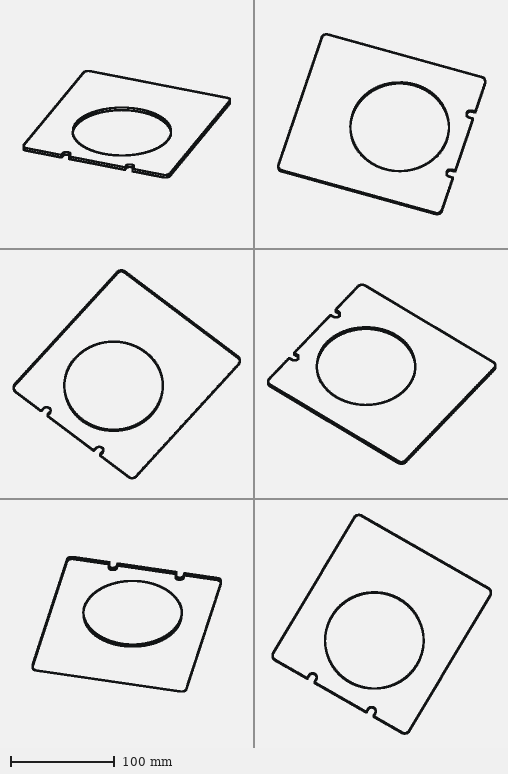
import cadquery as cq

width = 152.0
length = 165.0
thickness = 3.0
corner_radius = 5.0

opening_diameter = 95.0
opening_x = 2.0
opening_from_front = 65.0

notch_width = 8.0
notch_depth = 7.5
notch_spacing = 66.0

front_y = -length / 2


def make_plate():
    plate = cq.Workplane("XY").rect(width, length).extrude(thickness)
    return plate.edges("|Z").fillet(corner_radius)


def make_opening():
    return (
        cq.Workplane("XY")
        .center(opening_x, front_y + opening_from_front)
        .circle(opening_diameter / 2)
        .extrude(thickness)
    )


def make_notch(center_x):
    radius = notch_width / 2
    shoulder_y = notch_depth - radius
    return (
        cq.Workplane("XY")
        .center(center_x, front_y)
        .moveTo(-radius, 0)
        .lineTo(-radius, shoulder_y)
        .threePointArc((0, notch_depth), (radius, shoulder_y))
        .lineTo(radius, 0)
        .close()
        .extrude(thickness)
    )


result = make_plate().cut(make_opening())
for side in (-1, 1):
    result = result.cut(make_notch(opening_x + side * notch_spacing / 2))